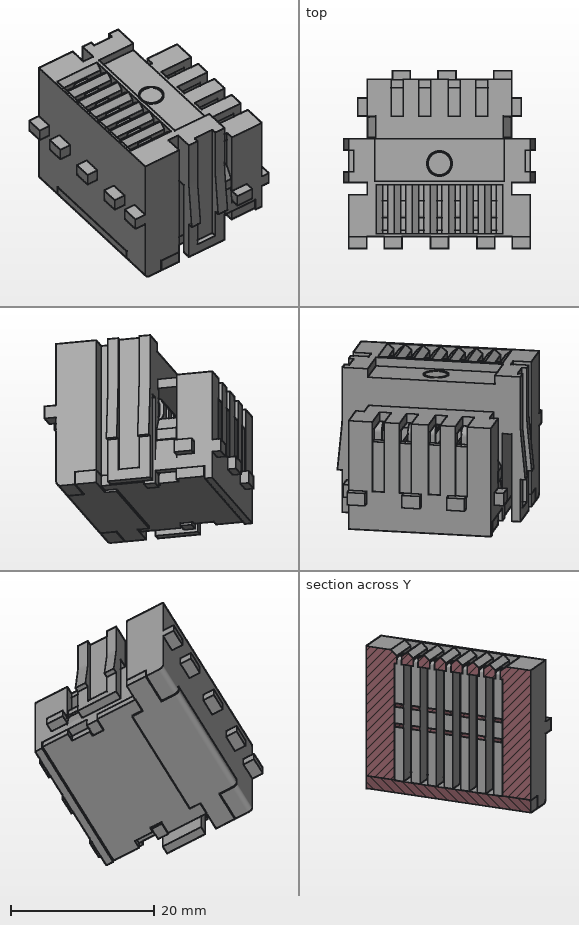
import cadquery as cq


body_half = 12.7
neck_half = 10.15
body_height = 21.08
front_block_depth = 5.85
bottom_edge_radius = 0.75

wing_front = 7.54
wing_back = 13.7
wing_thickness = 1.25
wing_root_z = 12.69
wing_groove_front = 9.05
wing_groove_back = 12.1
wing_groove_depth = 0.72
wing_groove_floor = 1.6
barb_tip_half = 13.4
barb_bottom = 6.15
barb_slope_top = 12.47
barb_top = 13.75
barb_slope_rise = 0.08

rear_back = 22.02
rear_top = 15.77
roof_underside = 14.43
rear_cavity_half = 8.93
back_wall_inner = 20.8
window_back = 16.85
sill_z = 6.38
sill_bevel_bottom = 3.5
sill_bevel_width = 0.32

slot_width = 1.65
slot_places = [-5.93, -2.07, 2.07, 5.93]
slot_lip_z = 12.87
slot_groove_depth = 0.1

tab_width = 2.55
tab_height = 1.8
front_tab_z = 10.2
front_tab_length = 1.7
front_tab_outer = body_half - tab_width / 2
front_tab_inner = 6.5
front_tab_places = [-front_tab_outer, -front_tab_inner, 0, front_tab_inner, front_tab_outer]
rear_tab_z = 3.85
rear_tab_length = 1.2
rear_tab_places = [-5.35, 1.05, neck_half - tab_width / 2]
side_tab_length = 1.31

panel_half = 9.07
panel_front = 7.75
panel_depth = 1.23
ring_outer_radius = 1.77
ring_width = 0.15
ring_depth = 0.13
ring_y = 10.22

entry_count = 7
entry_grid_length = 17.75
entry_pitch = entry_grid_length / entry_count
entry_slot_width = 0.7
entry_front = 0.38
entry_back = 7.25
entry_chamfer_depth = 0.78
entry_depth = 2.0
chamber_half = 8.31
chamber_front = 0.89
chamber_top = body_height - entry_depth

cover_top = 1.85
cover_raised_bottom = 0.32
cover_gap = 0.1
crossbar_front = 2.82
cover_neck_back = 12.07
latch_front = 13.9
latch_back = 16.75
latch_thickness = 0.48
hook_half = 10.05
hook_top = 9.85
hook_slope_bottom = 7.95
hook_toe_top = 6.79
hook_toe_width = 0.05

contact_width = 1.35
head_front = 2.63
head_back = 5.0
head_top = body_height - 1.05
head_radius = 0.38
loop_back = 14.4
loop_bottom = 9.74
loop_top = 13.25
loop_radius = 1.13
loop_thickness = 0.55

entry_places = [(i - (entry_count - 1) / 2) * entry_pitch for i in range(entry_count)]
sides = (-1, 1)


def block(x0, x1, y0, y1, z0, z1):
    """Box between the given limits."""
    return cq.Workplane("XY").box(x1 - x0, y1 - y0, z1 - z0, centered=False).translate((x0, y0, z0))


def centred_block(half, y0, y1, z0, z1):
    """Box that is symmetric about the middle plane."""
    return block(-half, half, y0, y1, z0, z1)


def side_block(side, x0, x1, y0, y1, z0, z1):
    """Box between two distances from the middle plane, on the chosen side."""
    near, far = sorted((side * x0, side * x1))
    return block(near, far, y0, y1, z0, z1)


def xz_sketch(y_start):
    """XZ workplane at the given Y; extruding by a negative length runs towards the back."""
    return cq.Workplane("XZ", origin=(0, y_start, 0))


def head_block(x):
    """Round-edged upper end of a contact."""
    bar = block(x - contact_width / 2, x + contact_width / 2, head_front, head_back, cover_top, head_top)
    return bar.edges("|X and >Z").fillet(head_radius)


def housing_outline():
    front = centred_block(body_half, 0, front_block_depth, 0, body_height)
    front = front.edges("|X and <Y and <Z").fillet(bottom_edge_radius)
    neck = centred_block(neck_half, front_block_depth, wing_front, 0, body_height)
    wings = centred_block(body_half, wing_front, wing_back, 0, body_height)
    rear = centred_block(neck_half, wing_back, rear_back, 0, rear_top)
    return front.union(neck).union(wings).union(rear)


def barb(side):
    """Sloping catch on the outside of a wing."""
    return (
        xz_sketch(wing_front)
        .moveTo(side * body_half, barb_bottom)
        .lineTo(side * barb_tip_half, barb_bottom)
        .lineTo(side * (body_half + barb_slope_rise), barb_slope_top)
        .tangentArcPoint((side * body_half, barb_top), relative=False)
        .close()
        .extrude(wing_front - wing_back)
    )


def add_wing_features(housing):
    for side in sides:
        housing = housing.union(barb(side))
        groove = side_block(
            side, body_half - wing_groove_depth, barb_tip_half,
            wing_groove_front, wing_groove_back, wing_groove_floor, body_height,
        )
        relief = side_block(
            side, neck_half, body_half - wing_thickness, wing_front, wing_back, 0, wing_root_z
        )
        housing = housing.cut(groove).cut(relief)
    return housing


def cut_rear_block(housing):
    """Hollow rear block, side windows with bevelled sills, and coding slots."""
    housing = housing.cut(
        centred_block(rear_cavity_half, wing_back, back_wall_inner, cover_top, roof_underside)
    )
    for side in sides:
        window = (
            xz_sketch(wing_back)
            .moveTo(side * rear_cavity_half, rear_top)
            .lineTo(side * neck_half, rear_top)
            .lineTo(side * neck_half, sill_bevel_bottom)
            .lineTo(side * (neck_half - sill_bevel_width), sill_z)
            .lineTo(side * rear_cavity_half, sill_z)
            .close()
            .extrude(wing_back - window_back)
        )
        housing = housing.cut(window)
    for x in slot_places:
        x0 = x - slot_width / 2
        x1 = x + slot_width / 2
        through_roof = block(x0, x1, window_back, rear_back, slot_lip_z, rear_top)
        groove = block(
            x0, x1, rear_back - slot_groove_depth, rear_back, rear_tab_z + tab_height, slot_lip_z
        )
        housing = housing.cut(through_roof).cut(groove)
    return housing


def add_coding_tabs(housing):
    half = tab_width / 2
    for x in front_tab_places:
        tab = block(x - half, x + half, -front_tab_length, 0, front_tab_z, front_tab_z + tab_height)
        housing = housing.union(tab)
    rear_tab_top = rear_tab_z + tab_height
    for x in rear_tab_places:
        tab = block(x - half, x + half, rear_back, rear_back + rear_tab_length, rear_tab_z, rear_tab_top)
        housing = housing.union(tab)
    for side in sides:
        tab = side_block(
            side, neck_half, neck_half + side_tab_length,
            window_back, window_back + tab_width, rear_tab_z, rear_tab_top,
        )
        housing = housing.union(tab)
    return housing


def cut_panel(housing):
    panel_z = body_height - panel_depth
    panel = centred_block(panel_half, panel_front, wing_back, panel_z, body_height)
    ring = (
        cq.Workplane("XY", origin=(0, ring_y, panel_z - ring_depth))
        .circle(ring_outer_radius)
        .circle(ring_outer_radius - ring_width)
        .extrude(ring_depth)
    )
    return housing.cut(panel).cut(ring)


def wire_entry(x):
    """Slot with a funnel mouth that meets the next mouth in a sharp ridge."""
    mouth = entry_pitch / 2
    slot = entry_slot_width / 2
    funnel_z = body_height - entry_chamfer_depth
    return (
        xz_sketch(entry_front)
        .polyline([
            (x - mouth, body_height), (x - slot, funnel_z), (x - slot, chamber_top),
            (x + slot, chamber_top), (x + slot, funnel_z), (x + mouth, body_height),
        ])
        .close()
        .extrude(entry_front - entry_back)
    )


def cut_contact_chamber(housing):
    upper = centred_block(chamber_half, chamber_front, entry_back, cover_top, chamber_top)
    lower = centred_block(chamber_half, entry_back, wing_back, cover_top, roof_underside)
    housing = housing.cut(upper).cut(lower)
    for x in entry_places:
        housing = housing.cut(wire_entry(x)).cut(head_block(x))
    return housing


def cut_cover_seat(housing):
    """Recess in the underside, open where the cover shows at the front and sides."""
    tongue = centred_block(chamber_half, 0, wing_back, 0, cover_top)
    crossbar = centred_block(body_half, crossbar_front - cover_gap, front_block_depth, 0, cover_top)
    neck = centred_block(neck_half, front_block_depth, cover_neck_back, 0, cover_top)
    rear = centred_block(neck_half, wing_back, back_wall_inner + cover_gap, 0, cover_top)
    return housing.cut(tongue).cut(crossbar).cut(neck).cut(rear)


def make_housing():
    housing = add_wing_features(housing_outline())
    housing = add_coding_tabs(cut_rear_block(housing))
    housing = cut_contact_chamber(cut_panel(housing))
    return cut_cover_seat(housing)


def cover_latch(side):
    """Arm with a hook that rests on the window sill."""
    arm_inner = rear_cavity_half - latch_thickness
    return (
        xz_sketch(latch_front)
        .polyline([
            (side * arm_inner, cover_top),
            (side * arm_inner, hook_top),
            (side * rear_cavity_half, hook_top),
            (side * hook_half, hook_slope_bottom),
            (side * hook_half, hook_toe_top),
            (side * (hook_half + hook_toe_width), sill_z),
            (side * rear_cavity_half, sill_z),
            (side * rear_cavity_half, cover_top),
        ])
        .close()
        .extrude(latch_front - latch_back)
    )


def make_cover():
    tongue = centred_block(chamber_half - cover_gap, 0, wing_front, 0, cover_top)
    tongue = tongue.edges("|X and <Y and <Z").fillet(bottom_edge_radius)
    crossbar = centred_block(body_half, crossbar_front, front_block_depth, 0, cover_top)
    neck = centred_block(neck_half, front_block_depth, cover_neck_back, cover_raised_bottom, cover_top)
    middle = centred_block(
        chamber_half - cover_gap, cover_neck_back, latch_front, cover_raised_bottom, cover_top
    )
    latch_base = centred_block(rear_cavity_half, latch_front, latch_back, cover_raised_bottom, cover_top)
    rear = centred_block(neck_half, latch_back, back_wall_inner, cover_raised_bottom, cover_top)
    cover = tongue.union(crossbar).union(neck).union(middle).union(latch_base).union(rear)
    for side in sides:
        cover = cover.union(cover_latch(side))
    return cover


def make_contact(x):
    """Upright post with a closed spring loop reaching to the back."""
    x0 = x - contact_width / 2
    x1 = x + contact_width / 2
    loop = block(x0, x1, head_front, loop_back, loop_bottom, loop_top)
    loop = loop.edges("|X and >Y").fillet(loop_radius)
    eye = block(
        x0, x1, head_back, loop_back - loop_thickness,
        loop_bottom + loop_thickness, loop_top - loop_thickness,
    )
    eye = eye.edges("|X and >Y").fillet(loop_radius - loop_thickness)
    return head_block(x).union(loop.cut(eye))


housing = make_housing()
cover = make_cover()
contacts = [make_contact(x) for x in entry_places]

result = cq.Compound.makeCompound([housing.val(), cover.val(), *[contact.val() for contact in contacts]])